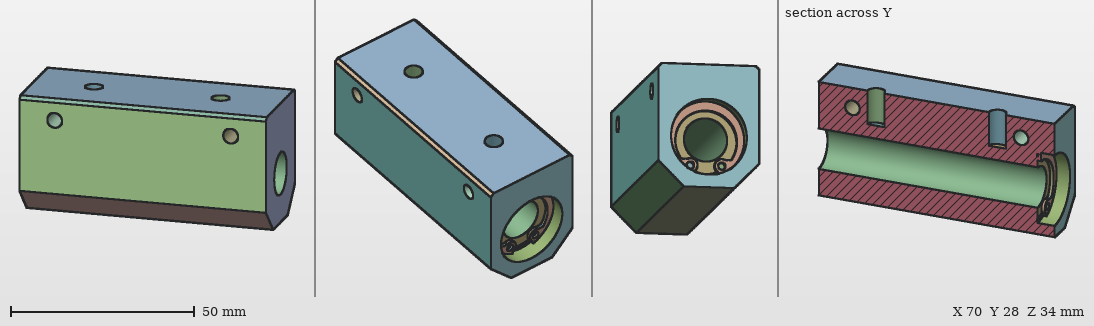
import cadquery as cq
import math

length = 70.0
width = 28.0
height = 34.0
top_chamfer = 1.0
bottom_chamfer = 7.0

bore_height = 14.0
bore_diameter = 12.0
recess_diameter = 21.0
ring_front = 4.0
ring_thickness = 1.05
ring_back = ring_front + ring_thickness
bearing_diameter = 20.0
bearing_face_diameter = 18.8
bearing_step = 0.15

ring_opening_diameter = 17.1
ring_opening_drop = 0.55
ring_shoulder_drop = 5.5
ring_corner_radius = 0.85
ring_gap_half_angle = 20.0
lug_offset = 4.35
lug_drop = 7.3
lug_radius = 1.95
lug_hole_diameter = 2.0

cross_hole_diameter = 4.2
cross_hole_spacing = 50.0
cross_hole_depth_from_top = 6.0
top_hole_diameter = 5.0
top_hole_spacing = 36.0


def disc(diameter, start, end, y=0.0, z=0.0):
    """Cylinder along X from start to end, placed relative to the bore axis."""
    plane = cq.Workplane("YZ", origin=(start, 0, bore_height))
    return plane.center(y, z).circle(diameter / 2).extrude(end - start)


def make_block():
    block = cq.Workplane("XY").box(length, width, height, centered=(False, True, False))
    block = block.edges("|X and >Z").chamfer(top_chamfer)
    return block.edges("|X and <Z").chamfer(bottom_chamfer)


def make_bore():
    """Through bore and the recess, which ends at the stepped bearing face."""
    recess = disc(recess_diameter, 0, ring_back)
    step_end = ring_back + bearing_step
    step = disc(bearing_diameter, ring_back, step_end)
    step = step.cut(disc(bearing_face_diameter, ring_back, step_end))
    return recess.union(step).union(disc(bore_diameter, 0, length))


def make_ring():
    """Retaining ring with an eccentric opening and two drilled lugs."""
    ring = disc(recess_diameter, ring_front, ring_back)

    opening = disc(ring_opening_diameter, ring_front, ring_back, z=-ring_opening_drop)
    above_shoulder = (
        cq.Workplane("YZ", origin=(ring_front, 0, bore_height - ring_shoulder_drop))
        .rect(recess_diameter, recess_diameter)
        .extrude(ring_thickness)
        .translate((0, 0, recess_diameter / 2))
    )
    opening = opening.intersect(above_shoulder)
    opening = opening.edges("|X").fillet(ring_corner_radius)
    ring = ring.cut(opening)

    gap_reach = recess_diameter
    gap_half_width = gap_reach * math.tan(math.radians(ring_gap_half_angle))
    gap = (
        cq.Workplane("YZ", origin=(ring_front, 0, bore_height))
        .polyline([(0, 0), (gap_half_width, -gap_reach), (-gap_half_width, -gap_reach)])
        .close()
        .extrude(ring_thickness)
    )
    lug_space = (
        cq.Workplane("YZ", origin=(ring_front, 0, bore_height - ring_shoulder_drop))
        .rect(2 * lug_offset, 2 * (lug_drop - ring_shoulder_drop))
        .extrude(ring_thickness)
    )
    ring = ring.cut(gap).cut(lug_space)
    for side in (-1, 1):
        y = side * lug_offset
        ring = ring.union(disc(2 * lug_radius, ring_front, ring_back, y, -lug_drop))
        ring = ring.cut(disc(lug_hole_diameter, ring_front, ring_back, y, -lug_drop))
    return ring


def cut_mounting_holes(body):
    """Two holes across the block and two from the top face down to the bearing sleeve."""
    sleeve = disc(bearing_diameter, 0, length)
    cross_height = height - cross_hole_depth_from_top
    for side in (-1, 1):
        cross_x = length / 2 + side * cross_hole_spacing / 2
        cross_plane = cq.Workplane("XZ", origin=(cross_x, width / 2, cross_height))
        body = body.cut(cross_plane.circle(cross_hole_diameter / 2).extrude(width))

        top_x = length / 2 + side * top_hole_spacing / 2
        top_plane = cq.Workplane("XY", origin=(top_x, 0, bore_height))
        top_hole = top_plane.circle(top_hole_diameter / 2).extrude(height - bore_height)
        body = body.cut(top_hole.cut(sleeve))
    return body


result = cut_mounting_holes(make_block().cut(make_bore()).union(make_ring()))